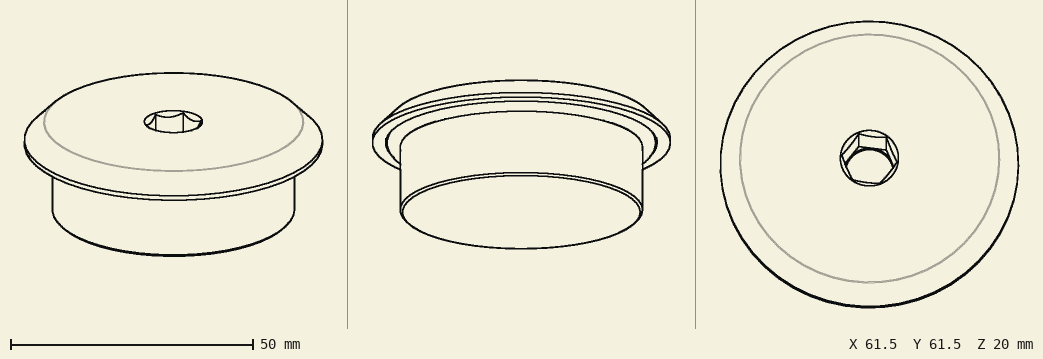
import cadquery as cq
import math

flange_diameter = 61.5
total_height = 20.0
flange_thickness = 5.0
bevel = 4.0
top_edge_fillet = 0.3
spigot_diameter = 50.0
spigot_chamfer = 0.5

seal_section_diameter = 3.0
seal_radius = seal_section_diameter / 2
seal_outer_diameter = 55.35
seal_groove_diameter = 56.0
seal_centre_radius = seal_outer_diameter / 2 - seal_radius

hex_across_flats = 9.95
hex_depth = 9.2
relief_diameter = 9.9
relief_depth = 10.15
countersink_diameter = 12.0
countersink_half_angle = 45.0

flange_radius = flange_diameter / 2
spigot_radius = spigot_diameter / 2
flange_bottom = total_height - flange_thickness


def plug_blank():
    """Revolved plug with a square seal groove next to the spigot and a softened top edge."""
    return (
        cq.Workplane("XZ")
        .moveTo(0, 0)
        .lineTo(spigot_radius - spigot_chamfer, 0)
        .lineTo(spigot_radius, spigot_chamfer)
        .lineTo(spigot_radius, flange_bottom + seal_radius)
        .lineTo(seal_groove_diameter / 2, flange_bottom + seal_radius)
        .lineTo(seal_groove_diameter / 2, flange_bottom)
        .lineTo(flange_radius, flange_bottom)
        .lineTo(flange_radius, total_height - bevel)
        .lineTo(flange_radius - bevel, total_height)
        .lineTo(0, total_height)
        .close()
        .revolve(360, (0, 0), (0, 1))
        .faces(">Z")
        .edges()
        .fillet(top_edge_fillet)
    )


def socket_cutter():
    """Hexagon with corners along X, its relief bore and its countersink."""
    top = cq.Workplane("XY").workplane(offset=total_height)
    hex_across_corners = hex_across_flats / math.cos(math.radians(30))
    hexagon = top.polygon(6, hex_across_corners).extrude(-hex_depth)
    relief = top.circle(relief_diameter / 2).extrude(-relief_depth)
    countersink_radius = countersink_diameter / 2
    countersink_depth = countersink_radius / math.tan(math.radians(countersink_half_angle))
    countersink = cq.Workplane(
        cq.Solid.makeCone(
            countersink_radius, 0, countersink_depth, cq.Vector(0, 0, total_height), cq.Vector(0, 0, -1)
        )
    )
    return hexagon.union(relief).union(countersink)


def make_seal_ring():
    """Round-section ring centred on the flange underside."""
    return (
        cq.Workplane("XZ")
        .center(seal_centre_radius, flange_bottom)
        .circle(seal_radius)
        .revolve(360, (-seal_centre_radius, 0), (-seal_centre_radius, 1))
    )


def make_plug(seal):
    """Finished plug, with a shallow seat in the spigot where the seal sinks in."""
    return plug_blank().cut(socket_cutter()).cut(seal)


seal_ring = make_seal_ring()
plug = make_plug(seal_ring)

result = cq.Compound.makeCompound([plug.solids().val(), seal_ring.val()])